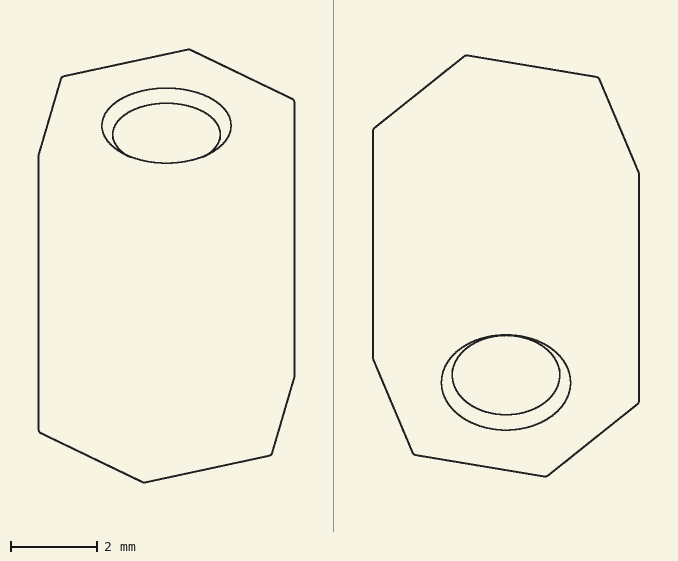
import cadquery as cq
import math

height = 8.0
across_flats = 5.5
edge_radius = 0.1
bore_diameter = 2.5
countersink_diameter = 3.0
countersink_depth = (countersink_diameter - bore_diameter) / 2

across_corners = across_flats / math.cos(math.radians(30))

body = cq.Workplane("XY").polygon(6, across_corners).extrude(height).edges().fillet(edge_radius)

bored = body.faces(">Z").workplane(origin=(0, 0, height)).hole(bore_diameter)
bore_rims = bored.edges("%CIRCLE").edges(cq.selectors.RadiusNthSelector(-1))
result = bore_rims.chamfer(countersink_depth)